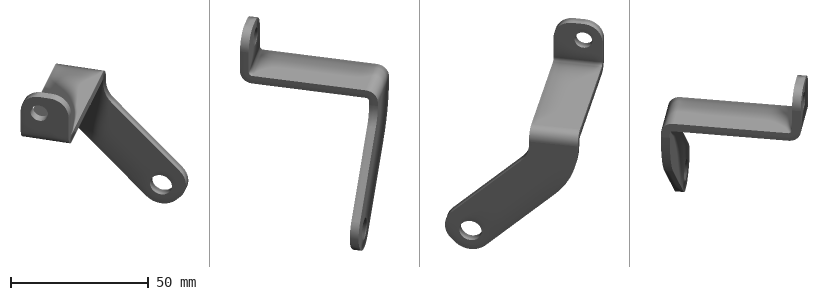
import cadquery as cq
import math

width = 18.05
thickness = 3.25
depth = 51.4
height = 70.7
shelf_top = 53.75
inner_bend_radius = 1.3
outer_bend_radius = inner_bend_radius + thickness
corner_radius = 7.0

tab_hole_diameter = 6.6

turn_angle = math.radians(45.4)
turn_start = 47.6
inner_turn_radius = 10.0
outer_turn_radius = inner_turn_radius + width
arm_corner_radius = 8.0
outer_corner_drop = turn_start - arm_corner_radius
turn_drop = (outer_turn_radius - arm_corner_radius) * math.sin(turn_angle)
arm_length = (outer_corner_drop - turn_drop) / math.cos(turn_angle) + arm_corner_radius

arm_hole_diameter = 8.3

shelf_bottom = shelf_top - thickness
back_leg_y = depth - thickness
turn_center_x = outer_turn_radius


def arm_point(radius, along=0.0, angle=turn_angle):
    """X, Z of a point at a radius from the turn center, moved along the direction of travel."""
    x = turn_center_x - radius * math.cos(angle) + along * math.sin(angle)
    z = turn_start - radius * math.sin(angle) - along * math.cos(angle)
    return x, z


def through_hole(center, diameter):
    """Cutter along Y through the whole depth, at an X, Z center."""
    return cq.Workplane("XZ", origin=(0, depth, 0)).center(*center).circle(diameter / 2).extrude(depth)


def round_bend(body, y, z, radius):
    """Round the edge along X that passes through the given Y, Z."""
    bend_edge = cq.selectors.NearestToPointSelector((width / 2, y, z))
    return body.edges("|X").edges(bend_edge).fillet(radius)


def make_bent_strip():
    """Upper tab, shelf and start of the lower leg, as one Z-shaped strip."""
    strip = (
        cq.Workplane("YZ")
        .moveTo(0, height)
        .lineTo(0, shelf_bottom)
        .lineTo(back_leg_y, shelf_bottom)
        .lineTo(back_leg_y, turn_start)
        .lineTo(depth, turn_start)
        .lineTo(depth, shelf_top)
        .lineTo(thickness, shelf_top)
        .lineTo(thickness, height)
        .close()
        .extrude(width)
    )
    strip = round_bend(strip, 0, shelf_bottom, outer_bend_radius)
    strip = round_bend(strip, thickness, shelf_top, inner_bend_radius)
    strip = round_bend(strip, depth, shelf_top, outer_bend_radius)
    strip = round_bend(strip, back_leg_y, shelf_bottom, inner_bend_radius)
    strip = strip.faces(">Z").edges("|Y").fillet(corner_radius)
    tab_hole_center = (corner_radius, height - corner_radius)
    return strip.cut(through_hole(tab_hole_center, tab_hole_diameter))


def make_arm():
    """Sideways turn and straight arm with a rounded end and a hole."""
    outer_end = arm_point(outer_turn_radius, arm_length)
    inner_end = arm_point(inner_turn_radius, arm_length)
    arm = (
        cq.Workplane("XZ", origin=(0, depth, 0))
        .moveTo(0, turn_start)
        .threePointArc(arm_point(outer_turn_radius, angle=turn_angle / 2), arm_point(outer_turn_radius))
        .lineTo(*outer_end)
        .lineTo(*inner_end)
        .lineTo(*arm_point(inner_turn_radius))
        .threePointArc(arm_point(inner_turn_radius, angle=turn_angle / 2), (width, turn_start))
        .close()
        .extrude(thickness)
    )
    for x, z in (outer_end, inner_end):
        end_edge = cq.selectors.NearestToPointSelector((x, depth - thickness / 2, z))
        arm = arm.edges("|Y").edges(end_edge).fillet(arm_corner_radius)
    hole_center = arm_point(outer_turn_radius - arm_corner_radius, arm_length - arm_corner_radius)
    return arm.cut(through_hole(hole_center, arm_hole_diameter))


result = make_bent_strip().union(make_arm())